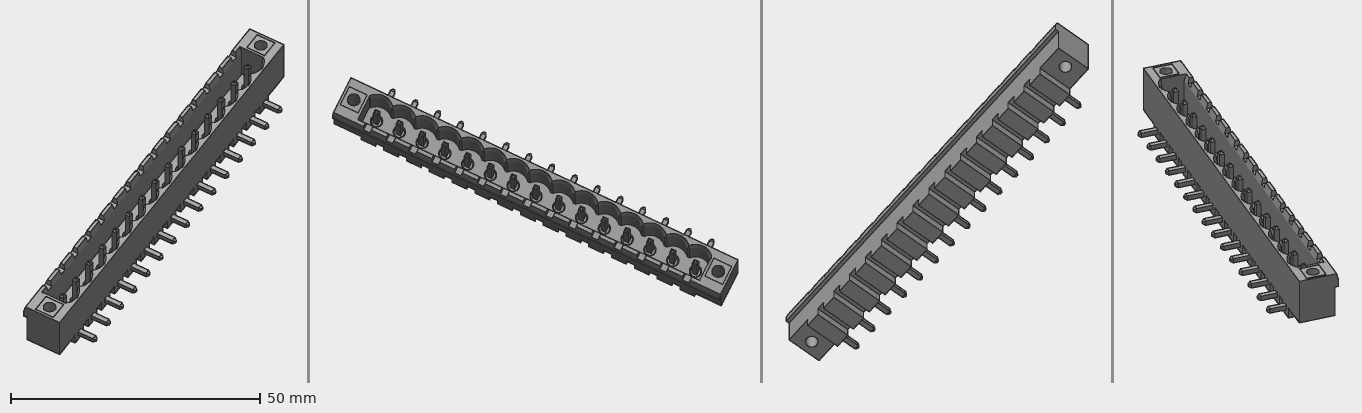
import cadquery as cq

contact_count = 15
contact_row_length = 71.2
pitch = contact_row_length / (contact_count - 1)
contact_positions = [(i - (contact_count - 1) / 2) * pitch for i in range(contact_count)]

housing_length = 86.4
height = 12.2
housing_back = 8.5
housing_front = 0.8
foot_height = 2.3
foot_width = 3.3

rail_depth = 3.1
rail_bevel_depth = 1.55
rail_bevel_width = 0.4

contact_x = 4.6
cavity_depth = 8.2
cavity_floor = height - cavity_depth
cavity_length = contact_count * pitch
cavity_front = 1.6
cavity_mouth_front = 1.2
mouth_depth = 1.55
scallop_radius = 3.0
scallop_mouth_radius = 3.4
ridge_offset = 2.0
ridge_x = contact_x + ridge_offset

slot_mouth_width = 1.7
slot_floor_width = 1.4
slot_depth = 1.2

mount_y = (contact_count + 1) / 2 * pitch
mount_hole_diameter = 2.5
mount_recess_length_x = 4.15
mount_recess_length_y = 4.0
mount_recess_depth = 0.1

pin_size = 1.0
pin_tip_size = 0.4
pin_tip_length = 0.5
contact_top = 11.0
tail_end = 12.5
tail_z = 1.8
contact_recess_diameter = 2.5
contact_recess_floor_diameter = 2.1
contact_recess_depth = 0.4


def block(x_min, x_max, y_center, y_length, z_min, z_max):
    """Box between two X and two Z levels, centred on y_center."""
    return (
        cq.Workplane("XY")
        .box(x_max - x_min, y_length, z_max - z_min, centered=(False, True, False))
        .translate((x_min, y_center, z_min))
    )


def along_y(profile, length):
    """Prism of an XZ profile, centred on Y = 0."""
    return cq.Workplane("XZ").polyline(profile).close().extrude(length / 2, both=True)


def cone(x, y, z_bottom, bottom_diameter, top_diameter, cone_height):
    """Vertical truncated cone."""
    solid = cq.Solid.makeCone(bottom_diameter / 2, top_diameter / 2, cone_height, cq.Vector(x, y, z_bottom))
    return cq.Workplane(obj=solid)


def make_housing():
    """Bar with the latch rail along its top front edge and a foot under each contact."""
    profile = [
        (housing_front, foot_height),
        (housing_back, foot_height),
        (housing_back, height),
        (rail_bevel_width, height),
        (0, height - rail_bevel_depth),
        (0, height - rail_depth),
        (housing_front, height - rail_depth),
    ]
    housing = along_y(profile, housing_length)
    for y in contact_positions:
        housing = housing.union(block(housing_front, housing_back, y, foot_width, 0, foot_height))
    return housing


def make_cavity():
    """Open cavity with a flared straight front wall and a flared, scalloped back wall."""
    profile = [
        (ridge_x, cavity_floor),
        (ridge_x, height),
        (cavity_mouth_front, height),
        (cavity_front, height - mouth_depth),
        (cavity_front, cavity_floor),
    ]
    cavity = along_y(profile, cavity_length)
    scallop_limits = block(contact_x, housing_back, 0, cavity_length, cavity_floor, height)
    for y in contact_positions:
        scallop = cone(
            contact_x, y, height - mouth_depth, 2 * scallop_radius, 2 * scallop_mouth_radius, mouth_depth
        )
        shaft = (
            cq.Workplane("XY", origin=(contact_x, y, cavity_floor))
            .circle(scallop_radius)
            .extrude(cavity_depth - mouth_depth)
        )
        cavity = cavity.union(shaft.union(scallop).intersect(scallop_limits))
    return cavity


def make_slot(y):
    """Slot through the front cavity wall, narrower at its floor than at its mouth."""
    floor_z = height - slot_depth
    outline = [
        (y - slot_mouth_width / 2, height),
        (y - slot_floor_width / 2, floor_z),
        (y + slot_floor_width / 2, floor_z),
        (y + slot_mouth_width / 2, height),
    ]
    return cq.Workplane("YZ").polyline(outline).close().extrude(cavity_front)


def make_tip(base):
    """Truncated pyramid that tapers the end of a contact."""
    return (
        base.rect(pin_size, pin_size)
        .workplane(offset=pin_tip_length)
        .rect(pin_tip_size, pin_tip_size)
        .loft(combine=True)
    )


def make_contact(y):
    """Square contact: an upright leg with a tapered tip and a tail out of the back of the housing."""
    upright_end = contact_top - pin_tip_length
    upright = block(
        contact_x - pin_size / 2, contact_x + pin_size / 2, y, pin_size, tail_z - pin_size / 2, upright_end
    )
    tail_shoulder = tail_end - pin_tip_length
    tail = block(contact_x, tail_shoulder, y, pin_size, tail_z - pin_size / 2, tail_z + pin_size / 2)
    upright_tip = make_tip(cq.Workplane("XY", origin=(contact_x, y, upright_end)))
    tail_tip = make_tip(cq.Workplane("YZ", origin=(tail_shoulder, y, tail_z)))
    return upright.union(upright_tip).union(tail).union(tail_tip)


def make_contact_recess(y):
    """Conical recess in the cavity floor around a contact."""
    return cone(
        contact_x,
        y,
        cavity_floor - contact_recess_depth,
        contact_recess_floor_diameter,
        contact_recess_diameter,
        contact_recess_depth,
    )


def make_mount_hole(y):
    """Through hole with a shallow rectangular recess around its upper end."""
    hole = cq.Workplane("XY", origin=(contact_x, y, 0)).circle(mount_hole_diameter / 2).extrude(height)
    recess = block(
        contact_x - mount_recess_length_x / 2,
        contact_x + mount_recess_length_x / 2,
        y,
        mount_recess_length_y,
        height - mount_recess_depth,
        height,
    )
    return hole.union(recess)


result = make_housing().cut(make_cavity())

for y in contact_positions:
    result = result.cut(make_slot(y)).cut(make_contact_recess(y)).union(make_contact(y))

for y in (-mount_y, mount_y):
    result = result.cut(make_mount_hole(y))